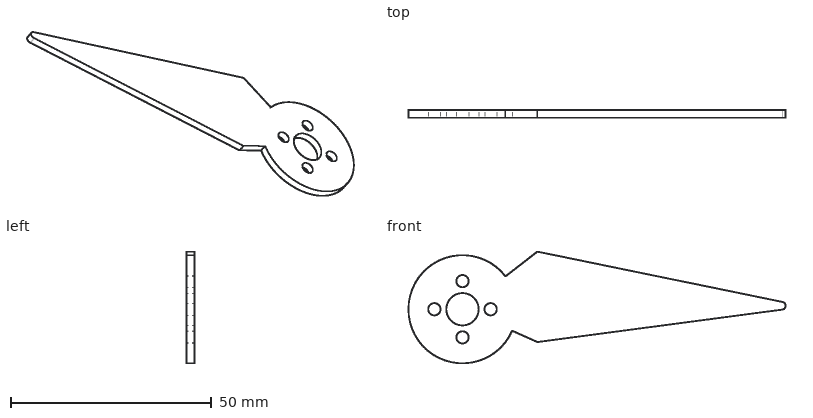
import cadquery as cq
import math

thickness = 2.0

hub_radius = 13.5
bore_diameter = 8.0
bolt_hole_diameter = 3.0
bolt_circle_radius = 7.0
bolt_hole_count = 4

upper_neck_angle = 37.5
lower_neck_angle = -23.5
shoulder_x = 18.65
upper_shoulder_z = 14.38
lower_shoulder_z = -8.2
tip_radius = 1.0
tip_center_x = 79.51
tip_center_z = 0.87


def hub_rim_point(angle):
    """Point on the hub rim at an angle in degrees from +X."""
    turn = math.radians(angle)
    return (hub_radius * math.cos(turn), hub_radius * math.sin(turn))


def tip_tangent_point(shoulder, side):
    """Where the edge from a shoulder touches the tip circle; side is +1 for upper, -1 for lower."""
    dx = shoulder[0] - tip_center_x
    dz = shoulder[1] - tip_center_z
    direction = math.atan2(dz, dx) - side * math.acos(tip_radius / math.hypot(dx, dz))
    return (
        tip_center_x + tip_radius * math.cos(direction),
        tip_center_z + tip_radius * math.sin(direction),
    )


def plate_sketch():
    """Workplane on the +Y face of the plate; extrusions run toward -Y through the thickness."""
    return cq.Workplane("XZ", origin=(0, thickness / 2, 0))


def make_hub():
    return plate_sketch().circle(hub_radius).extrude(thickness)


def make_blade():
    upper_shoulder = (shoulder_x, upper_shoulder_z)
    lower_shoulder = (shoulder_x, lower_shoulder_z)
    tip_end = (tip_center_x + tip_radius, tip_center_z)
    return (
        plate_sketch()
        .moveTo(*hub_rim_point(upper_neck_angle))
        .lineTo(*upper_shoulder)
        .lineTo(*tip_tangent_point(upper_shoulder, 1))
        .threePointArc(tip_end, tip_tangent_point(lower_shoulder, -1))
        .lineTo(*lower_shoulder)
        .lineTo(*hub_rim_point(lower_neck_angle))
        .close()
        .extrude(thickness)
    )


def make_hole_cutters():
    bore = plate_sketch().circle(bore_diameter / 2).extrude(thickness)
    bolt_holes = (
        plate_sketch()
        .polarArray(bolt_circle_radius, 0, 360, bolt_hole_count)
        .circle(bolt_hole_diameter / 2)
        .extrude(thickness)
    )
    return bore.add(bolt_holes).combine()


result = make_hub().union(make_blade()).cut(make_hole_cutters())